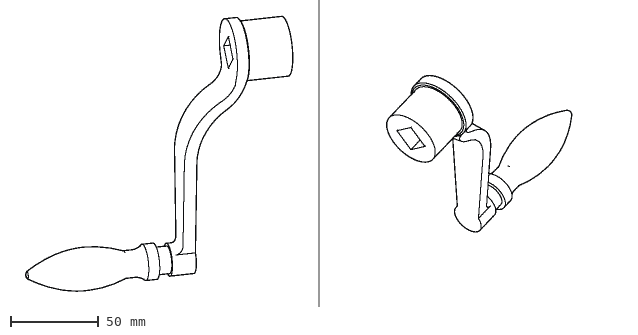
import cadquery as cq
import math


hub_radius = 17.25
hub_length = 26.0
drive_square_side = 14.0

eye_radius = 19.5
eye_chamfer_depth = 0.7
eye_chamfer_width = 1.1

throw = 125.0
arm_thickness = 7.5
arm_offset = 29.0
neck_top = -9.75
neck_bottom = -24.2
neck_half_width = 12.8
tip_half_width = 7.2
bend_bottom = -62.0

eye_front = hub_length + arm_thickness
arm_back = hub_length + arm_offset
arm_front = arm_back + arm_thickness
edge_back = hub_length + eye_chamfer_depth

front_bend_top = -14.2
front_joint = (-40.85, -24.2)
crown_bend_top = -13.4
crown_joint = (-37.05, -30.7)
edge_bend_top = -9.9
edge_joint = (-37.6, -29.7)

boss_radius = 9.5
boss_fillet = 4.0
boss_end = 69.2
shank_radius = 8.0
collar_radius = 10.5
collar_start = 77.0
collar_end = 83.5
flare_middle = (8.6, 86.6)
waist_start = 90.8
waist_end = 95.1
grip_radius = 12.5
grip_widest = 116.5
tip_radius = 2.2
tip_start = 152.6
grip_end = 153.5


def grip_profile():
    """Empty sketch in the (radius, depth) half plane above the grip axis."""
    return cq.Workplane(cq.Plane(origin=(0, 0, -throw), xDir=(0, 0, 1), normal=(1, 0, 0)))


def turn(profile):
    """Close a (radius, depth) profile and turn it about the grip axis."""
    return profile.close().revolve(360, (0, 0, 0), (0, 1, 0))


def disc(radius, start, end):
    """Cylinder on the hub axis between two depths."""
    return cq.Workplane("XZ", origin=(0, -start, 0)).circle(radius).extrude(end - start)


def arm_outline():
    """Solid running straight along Y with the outline of the arm from the hub axis down."""
    eye_edge = math.sqrt(eye_radius**2 - neck_top**2)
    half = (
        cq.Workplane("XZ")
        .moveTo(0, -throw)
        .lineTo(tip_half_width, -throw)
        .lineTo(neck_half_width, neck_bottom)
        .tangentArcPoint((eye_edge, neck_top), relative=False)
        .lineTo(0, 0)
        .close()
        .extrude(grip_end)
    )
    return half.union(half.mirror("YZ"))


def bend_side(x, face_top, joint, face_end):
    """Region in the plane at x lying behind an S-bent line that ends straight down the arm."""
    return (
        cq.Workplane("YZ", origin=(x, 0, 0))
        .moveTo(-face_end, -throw)
        .lineTo(-face_end, bend_bottom)
        .tangentArcPoint(joint, relative=False)
        .tangentArcPoint(face_top, relative=False)
        .lineTo(face_top[0], 0)
        .lineTo(0, 0)
        .lineTo(0, -throw)
        .close()
    )


def make_arm():
    """Bent arm whose back is crowned across its width in the bend and flat lower down."""
    front_bend = ((-eye_front, front_bend_top), front_joint, arm_front)
    edge_bend = ((-edge_back, edge_bend_top), edge_joint, arm_back)
    crown_bend = ((-hub_length, crown_bend_top), crown_joint, arm_back)

    behind_front = bend_side(-eye_radius, *front_bend).extrude(2 * eye_radius)
    behind_edges = bend_side(-eye_radius, *edge_bend).extrude(2 * eye_radius)
    plain_arm = behind_front.cut(behind_edges)

    crown_sections = [
        bend_side(-neck_half_width, *edge_bend).val(),
        bend_side(0, *crown_bend).val(),
        bend_side(neck_half_width, *edge_bend).val(),
    ]
    behind_crown = cq.Workplane(cq.Solid.makeLoft(crown_sections))
    crown = bend_side(-neck_half_width, *front_bend).extrude(2 * neck_half_width).cut(behind_crown)

    return plain_arm.union(crown).intersect(arm_outline())


def make_eye():
    """Disc at the top of the arm, chamfered around its back rim."""
    rim = disc(eye_radius, edge_back, eye_front)
    cone = cq.Solid.makeCone(
        eye_radius - eye_chamfer_width,
        eye_radius,
        eye_chamfer_depth,
        pnt=cq.Vector(0, -hub_length, 0),
        dir=cq.Vector(0, -1, 0),
    )
    return rim.union(cq.Workplane(cone))


def make_boss():
    """Boss on the lower end of the arm with a concave fillet where the arm meets it."""
    boss = turn(
        grip_profile()
        .moveTo(0, arm_back)
        .lineTo(boss_radius, arm_back)
        .lineTo(boss_radius, boss_end)
        .lineTo(0, boss_end)
    )
    arc_offset = boss_fillet * (1 - math.sqrt(0.5))
    ring = turn(
        grip_profile()
        .moveTo(0, arm_front)
        .lineTo(boss_radius + boss_fillet, arm_front)
        .threePointArc(
            (boss_radius + arc_offset, arm_front + arc_offset),
            (boss_radius, arm_front + boss_fillet),
        )
        .lineTo(0, arm_front + boss_fillet)
    )
    return boss.union(ring.intersect(arm_outline()))


def make_grip():
    """Shank, collar, flare, waist and swelling grip with a rounded tip, turned in one piece."""
    tip_height = grip_end - tip_start
    tip_sphere_radius = (tip_radius**2 + tip_height**2) / (2 * tip_height)
    tip_half_angle = math.asin(tip_radius / tip_sphere_radius) / 2
    tip_middle = (
        tip_sphere_radius * math.sin(tip_half_angle),
        grip_end - tip_sphere_radius * (1 - math.cos(tip_half_angle)),
    )
    return turn(
        grip_profile()
        .moveTo(0, boss_end)
        .lineTo(shank_radius, boss_end)
        .lineTo(shank_radius, collar_start)
        .lineTo(collar_radius, collar_start)
        .lineTo(collar_radius, collar_end)
        .threePointArc(flare_middle, (shank_radius, waist_start))
        .lineTo(shank_radius, waist_end)
        .spline([(grip_radius, grip_widest), (tip_radius, tip_start)], includeCurrent=True)
        .threePointArc(tip_middle, (0, grip_end))
    )


def make_drive_hole():
    """Square hole, standing on one corner, through the hub and the eye."""
    square = cq.Workplane("XZ").rect(drive_square_side, drive_square_side).extrude(eye_front)
    return square.rotate((0, 0, 0), (0, 1, 0), 45)


result = (
    make_arm()
    .union(make_eye())
    .union(disc(hub_radius, 0, hub_length))
    .union(make_boss())
    .union(make_grip())
    .cut(make_drive_hole())
)